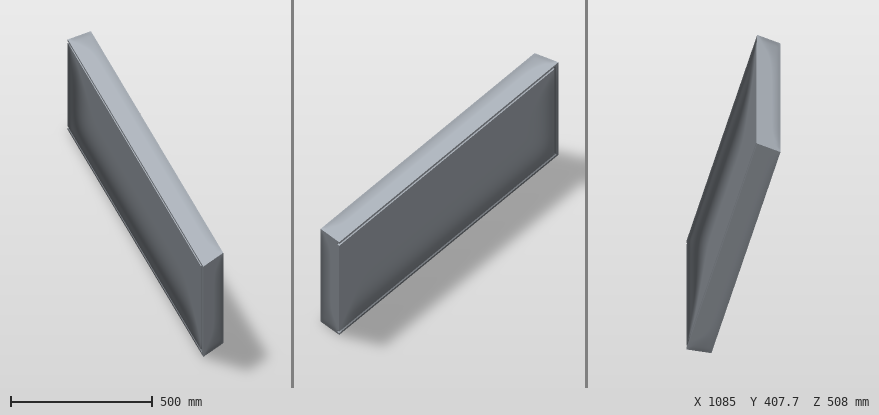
import cadquery as cq
import math

width_x = 1085.0
height = 508.0
thickness = 90.0
tilt_deg = 16.5
rim_width = 10.0
groove_width = 10.0
groove_depth = 10.0

tilt = math.radians(tilt_deg)
front_length = width_x / math.cos(tilt)
end_taper = math.tan(tilt)
back_length = front_length - thickness * end_taper


def make_panel():
    return (
        cq.Workplane("XY")
        .polyline([(0, 0), (front_length, 0), (back_length, thickness), (0, thickness)])
        .close()
        .extrude(height)
    )


def front_block(inset):
    """Slab behind the front face, set in from the top, right and bottom edges, open at the left."""
    return cq.Workplane("XY").box(
        front_length - inset, groove_depth, height - 2 * inset, centered=False
    ).translate((0, 0, inset))


groove = front_block(rim_width).cut(front_block(rim_width + groove_width))

panel = make_panel().cut(groove)
result = panel.rotate((0, 0, 0), (0, 0, 1), -tilt_deg)